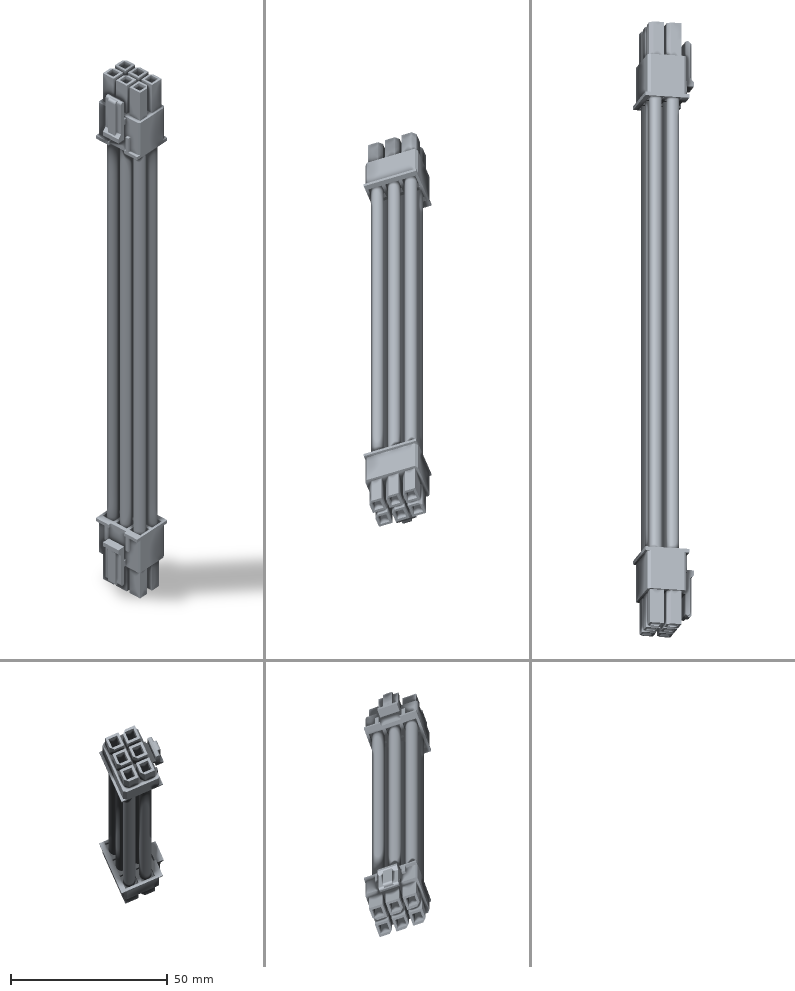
import cadquery as cq
import math


total_length = 199.85
housing_gap = 150.0
housing_length = (total_length - housing_gap) / 2

pitch = 5.7
row_offset = 0.35
column_x = [-pitch, 0.0, pitch]
back_row_y = row_offset + pitch / 2
front_row_y = row_offset - pitch / 2

wire_diameter = 4.0
socket_size = 4.6
socket_depth = 2.4
wire_length = housing_gap + 2 * socket_depth

housing_width = 17.75
flange_depth = 14.4
flange_thickness = 1.2

body_back_y = 6.4
body_front_y = -6.15
body_end_z = 13.85
front_corner_chamfer = 0.5
back_corner_chamfer_x = 0.7
back_corner_chamfer_y = 1.0

tower_size = 4.6
tower_key_chamfer = 1.2
cavity_size = 3.0
cavity_floor_z = 2 * socket_depth

lever_width = 6.6
lever_thickness = 1.5
lever_start_z = 5.4
lever_end_z = 20.5
lever_end_drop = 0.3
lever_end_radius = 0.9
pad_height = 1.6
overall_depth = 17.16
rib_width = 3.1
rib_height = 0.9
hinge_start_z = 11.2
hinge_end_z = 13.4

guard_outer_x = 5.1
guard_inner_x = 3.9
guard_end_z = 6.7

flange_front_y = -flange_depth / 2
lever_back_y = flange_front_y
lever_front_y = lever_back_y - lever_thickness
pad_tip_y = flange_depth / 2 - overall_depth
rib_front_y = lever_front_y - rib_height


def box(x_range, y_range, z_range):
    """Axis-aligned block between the given limits."""
    size = [high - low for low, high in (x_range, y_range, z_range)]
    return cq.Workplane("XY").box(*size, centered=False).translate((x_range[0], y_range[0], z_range[0]))


def make_flange():
    half_width = housing_width / 2
    flange = box((-half_width, half_width), (flange_front_y, flange_depth / 2), (0, flange_thickness))
    notch_half = lever_width / 2
    notch = box((-notch_half, notch_half), (flange_front_y, body_front_y), (0, flange_thickness))
    return flange.cut(notch)


def make_body():
    half_width = housing_width / 2
    outline = [
        (-half_width + front_corner_chamfer, body_front_y),
        (half_width - front_corner_chamfer, body_front_y),
        (half_width, body_front_y + front_corner_chamfer),
        (half_width, body_back_y - back_corner_chamfer_y),
        (half_width - back_corner_chamfer_x, body_back_y),
        (-half_width + back_corner_chamfer_x, body_back_y),
        (-half_width, body_back_y - back_corner_chamfer_y),
        (-half_width, body_front_y + front_corner_chamfer),
    ]
    return cq.Workplane("XY").polyline(outline).close().extrude(body_end_z)


def make_square_column(x, y, size, start_z, end_z):
    column = cq.Workplane("XY").rect(size, size).extrude(end_z - start_z)
    return column.translate((x, y, start_z))


def make_tower(x, y, key_side):
    """Tower with one bevelled back edge; key_side is -1 or +1 along X."""
    tower = make_square_column(x, y, tower_size, 0, housing_length)
    key_edge = "<X and >Y" if key_side < 0 else ">X and >Y"
    return tower.edges(key_edge).chamfer(tower_key_chamfer)


def make_lever_slab(width, front_y):
    """Slab of the lever with its face at front_y, sloping out at the low end to the finger pad."""
    slope_start_z = lever_start_z + pad_height
    slope_end_z = slope_start_z + front_y - pad_tip_y
    crest_y = front_y + lever_end_radius
    arc_middle = (
        crest_y - lever_end_radius * math.sin(math.pi / 4),
        lever_end_z - lever_end_radius * (1 - math.cos(math.pi / 4)),
    )
    profile = (
        cq.Workplane("YZ")
        .moveTo(lever_back_y, lever_start_z)
        .lineTo(pad_tip_y, lever_start_z)
        .lineTo(pad_tip_y, slope_start_z)
        .lineTo(front_y, slope_end_z)
        .lineTo(front_y, lever_end_z - lever_end_radius)
        .threePointArc(arc_middle, (crest_y, lever_end_z))
        .lineTo(lever_back_y, lever_end_z - lever_end_drop)
        .close()
    )
    return profile.extrude(width / 2, both=True)


def make_latch():
    half_width = lever_width / 2
    plate = make_lever_slab(lever_width, lever_front_y)
    rib = make_lever_slab(rib_width, rib_front_y)
    hinge = box((-half_width, half_width), (lever_back_y, body_front_y), (hinge_start_z, hinge_end_z))
    return plate.union(rib).union(hinge)


def make_guard(side):
    limits = sorted((side * guard_inner_x, side * guard_outer_x))
    return box(limits, (flange_front_y, body_front_y), (0, guard_end_z))


def make_housing():
    housing = make_flange().union(make_body())
    for x in column_x:
        front_key_side = 1 if x > 0 else -1
        housing = housing.union(make_tower(x, back_row_y, -1))
        housing = housing.union(make_tower(x, front_row_y, front_key_side))
    for x in column_x:
        for y in (back_row_y, front_row_y):
            housing = housing.cut(make_square_column(x, y, cavity_size, cavity_floor_z, housing_length))
            housing = housing.cut(make_square_column(x, y, socket_size, 0, socket_depth))
    for side in (-1, 1):
        housing = housing.union(make_guard(side))
    return housing.union(make_latch())


def make_wire(x, y):
    wire = cq.Workplane("XY").circle(wire_diameter / 2).extrude(wire_length)
    return wire.translate((x, y, -wire_length / 2))


housing = make_housing()
upper_housing = housing.translate((0, 0, housing_gap / 2))
lower_housing = upper_housing.rotate((0, 0, 0), (0, 1, 0), 180)
wires = [make_wire(x, y) for x in column_x for y in (back_row_y, front_row_y)]

result = cq.Compound.makeCompound(
    [upper_housing.val(), lower_housing.val(), *[wire.val() for wire in wires]]
)